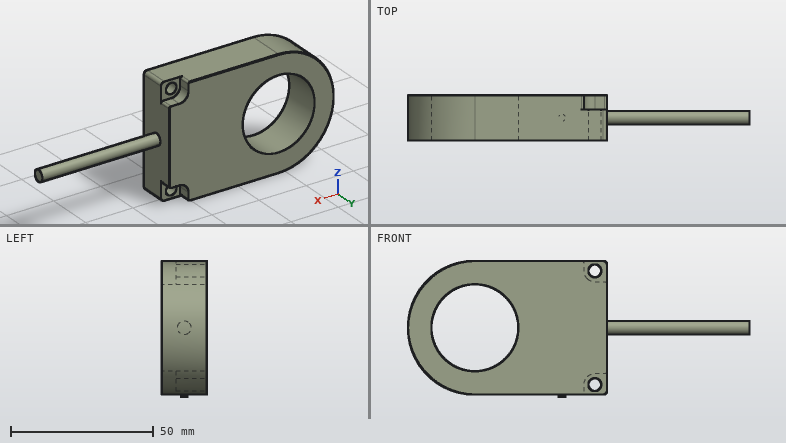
import cadquery as cq

total_length = 120.0
body_length = 70.0
body_height = 47.0
body_depth = 16.0
bore_diameter = 30.5
cable_diameter = 4.8
corner_radius = 1.5
rear_chamfer = 0.2

hole_diameter = 4.5
hole_from_end = 4.3
hole_spacing = 40.0
recess_radius = 3.8
recess_depth = 5.2
recess_edge_radius = 0.8

lamp_diameter = 2.4
lamp_projection = 0.7
lamp_x = 30.6

ring_radius = body_height / 2
body_end = body_length - ring_radius
cable_end = total_length - ring_radius
mid_depth = body_depth / 2
hole_x = body_end - hole_from_end
hole_z = hole_spacing / 2
recess_floor = body_depth - recess_depth


def along_y(start):
    """Sketch plane at the given depth, with local axes X and Z."""
    return cq.Workplane("XZ", origin=(0, start, 0))


def make_body():
    """D-shaped plate with rounded end corners."""
    body = (
        along_y(0)
        .moveTo(0, ring_radius)
        .lineTo(body_end, ring_radius)
        .lineTo(body_end, -ring_radius)
        .lineTo(0, -ring_radius)
        .threePointArc((-ring_radius, 0), (0, ring_radius))
        .close()
        .extrude(-body_depth)
    )
    return body.edges("|Y and >X").fillet(corner_radius)


def make_recess():
    """Upper corner recess: rounded around the hole, open to the top and the end."""
    left = hole_x - recess_radius
    bottom = hole_z - recess_radius
    edge = recess_edge_radius
    return (
        along_y(recess_floor)
        .moveTo(left - edge, ring_radius)
        .radiusArc((left, ring_radius - edge), edge)
        .lineTo(left, hole_z)
        .radiusArc((hole_x, bottom), -recess_radius)
        .lineTo(body_end - edge, bottom)
        .radiusArc((body_end, bottom - edge), edge)
        .lineTo(body_end + edge, bottom - edge)
        .lineTo(body_end + edge, ring_radius + edge)
        .lineTo(left - edge, ring_radius + edge)
        .close()
        .extrude(-recess_depth)
    )


def make_cable():
    """Round cable leaving the middle of the end face."""
    return (
        cq.Workplane("YZ", origin=(body_end, mid_depth, 0))
        .circle(cable_diameter / 2)
        .extrude(cable_end - body_end)
    )


def make_lamp():
    """Small round lamp standing out of the underside."""
    return (
        cq.Workplane("XY", origin=(lamp_x, mid_depth, -ring_radius - lamp_projection))
        .circle(lamp_diameter / 2)
        .extrude(2 * lamp_projection)
    )


bore = along_y(0).circle(bore_diameter / 2).extrude(-body_depth)
holes = (
    along_y(0)
    .pushPoints([(hole_x, hole_z), (hole_x, -hole_z)])
    .circle(hole_diameter / 2)
    .extrude(-body_depth)
)
upper_recess = make_recess()
lower_recess = upper_recess.mirror("XY")

body = make_body().faces(">Y").edges().chamfer(rear_chamfer)
body = body.cut(bore).cut(holes).cut(upper_recess).cut(lower_recess)
result = body.union(make_cable()).union(make_lamp())